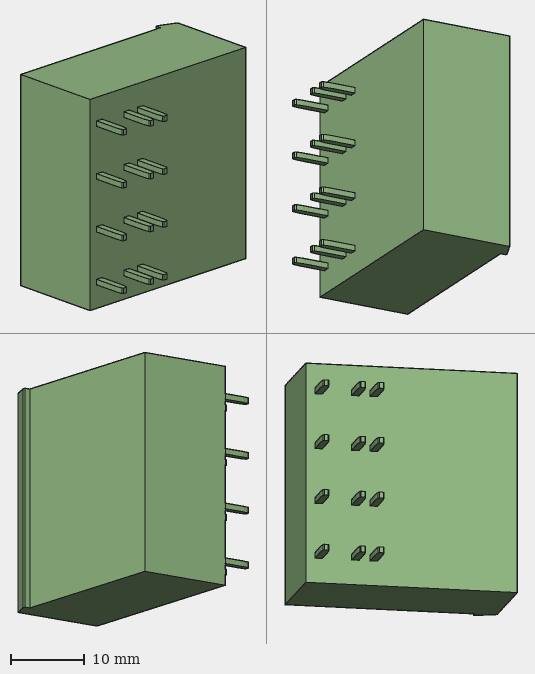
import cadquery as cq

height = 30.45
depth = 29.25
body_width = 13.52

lip_overhang = 0.8
lip_length = 3.05
lip_bevel_length = 2.6
lip_bevel_width = 1.05

pin_length = 5.0
pin_width = 1.0
pin_thickness = 0.8
taper_start = 3.85
tip_shoulder_start = 4.8
tip_shoulder_width = 0.8
tip_end_width = 0.55

pin_levels = 4
level_pitch = 7.6
row_pitch = level_pitch / 3
first_row_inset = 1.77
row_steps = (0, 2, 3)


def make_housing():
    """Rectangular block with the latch lip, extruded over the full height."""
    lip_x = -lip_overhang
    profile = [
        (0, 0),
        (body_width, 0),
        (body_width, depth),
        (lip_x + lip_bevel_width, depth),
        (lip_x, depth - lip_bevel_length),
        (lip_x, depth - lip_length),
        (0, depth - lip_length),
    ]
    return cq.Workplane("XY").polyline(profile).close().extrude(height)


def make_pin():
    """Flat pin along +X, centred on Y and Z, with a tapered and blunted tip."""
    upper_edge = [
        (0, pin_width / 2),
        (taper_start, pin_width / 2),
        (tip_shoulder_start, tip_shoulder_width / 2),
        (pin_length, tip_end_width / 2),
    ]
    lower_edge = [(x, -y) for x, y in reversed(upper_edge)]
    outline = cq.Workplane("XY").polyline(upper_edge + lower_edge).close()
    return outline.extrude(pin_thickness / 2, both=True)


result = make_housing()
pin = make_pin()
lowest_level = (height - (pin_levels - 1) * level_pitch) / 2
for step in row_steps:
    row_y = first_row_inset + step * row_pitch
    for level in range(pin_levels):
        level_z = lowest_level + level * level_pitch
        result = result.union(pin.translate((body_width, row_y, level_z)))